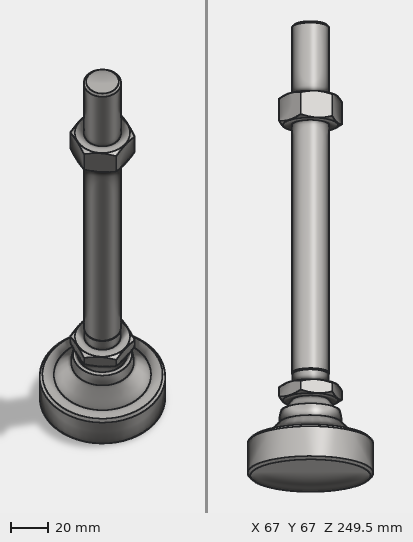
import cadquery as cq
import math

total_height = 249.5

pad_diameter = 67.0
pad_radius = pad_diameter / 2
pad_height = 19.5
pad_chamfer = 1.5

socket_base_radius = 26.0
collar_bottom_radius = 16.7
collar_bottom_z = 29.0
collar_top_z = 35.7
collar_center_z = 30.0

ball_radius = 13.7
ball_center_z = 32.2
ball_flat_z = 22.5

across_flats = 30.0
hex_corner_radius = across_flats / math.sqrt(3)
hex_crown_radius = 14.7
hex_crown_angle = 30.0
spindle_hex_bottom_z = 41.7
spindle_hex_height = 7.7
spindle_hex_top_z = spindle_hex_bottom_z + spindle_hex_height

rod_radius = 10.0
rod_tip_chamfer = 1.2
neck_radius = 9.7
neck_top_z = 56.1
neck_taper_height = 0.7

nut_bottom_z = 194.4
nut_height = 15.0


def sphere_section_radius(sphere_radius, height_from_center):
    """Radius of a horizontal slice through a sphere."""
    return math.sqrt(sphere_radius**2 - height_from_center**2)


def revolve_about_z(profile):
    """Turn a closed radius-height profile in the XZ plane about Z."""
    return profile.close().revolve(360, (0, 0, 0), (0, 1, 0))


def make_hex(bottom_z, height):
    """Hexagonal prism with corners on +-Y and both ends crowned by a cone."""
    prism = (
        cq.Workplane("XY", origin=(0, 0, bottom_z))
        .polygon(6, 2 * hex_corner_radius)
        .extrude(height)
        .rotate((0, 0, 0), (0, 0, 1), 30)
    )
    crown_width = hex_corner_radius - hex_crown_radius
    crown_height = crown_width * math.tan(math.radians(hex_crown_angle))
    top_z = bottom_z + height
    envelope = revolve_about_z(
        cq.Workplane("XZ")
        .moveTo(0, bottom_z)
        .lineTo(hex_crown_radius, bottom_z)
        .lineTo(hex_corner_radius, bottom_z + crown_height)
        .lineTo(hex_corner_radius, top_z - crown_height)
        .lineTo(hex_crown_radius, top_z)
        .lineTo(0, top_z)
    )
    return prism.intersect(envelope)


def make_ball():
    """Ball running from its flat underside up to the spindle hexagon."""
    flat_radius = sphere_section_radius(ball_radius, ball_flat_z - ball_center_z)
    top_radius = sphere_section_radius(ball_radius, spindle_hex_bottom_z - ball_center_z)
    return revolve_about_z(
        cq.Workplane("XZ")
        .moveTo(0, ball_flat_z)
        .lineTo(flat_radius, ball_flat_z)
        .threePointArc((ball_radius, ball_center_z), (top_radius, spindle_hex_bottom_z))
        .lineTo(0, spindle_hex_bottom_z)
    )


def make_pad():
    """Round pad chamfered on both rims."""
    return cq.Workplane("XY").circle(pad_radius).extrude(pad_height).edges().chamfer(pad_chamfer)


def make_socket():
    """Cone and spherical collar, hollowed to hold the ball."""
    collar_radius = math.hypot(collar_bottom_radius, collar_bottom_z - collar_center_z)
    collar_top_radius = sphere_section_radius(collar_radius, collar_top_z - collar_center_z)
    body = revolve_about_z(
        cq.Workplane("XZ")
        .moveTo(0, pad_height)
        .lineTo(socket_base_radius, pad_height)
        .lineTo(collar_bottom_radius, collar_bottom_z)
        .threePointArc((collar_radius, collar_center_z), (collar_top_radius, collar_top_z))
        .lineTo(0, collar_top_z)
    )
    return body.cut(make_ball())


def make_spindle():
    """Ball, hexagon, neck and rod in one piece."""
    shaft = revolve_about_z(
        cq.Workplane("XZ")
        .moveTo(0, spindle_hex_top_z)
        .lineTo(neck_radius, spindle_hex_top_z)
        .lineTo(neck_radius, neck_top_z)
        .lineTo(rod_radius, neck_top_z + neck_taper_height)
        .lineTo(rod_radius, total_height - rod_tip_chamfer)
        .lineTo(rod_radius - rod_tip_chamfer, total_height)
        .lineTo(0, total_height)
    )
    return make_ball().union(make_hex(spindle_hex_bottom_z, spindle_hex_height)).union(shaft)


def make_nut():
    """Hexagon nut bored to fit the rod."""
    bore = cq.Workplane("XY", origin=(0, 0, nut_bottom_z)).circle(rod_radius).extrude(nut_height)
    return make_hex(nut_bottom_z, nut_height).cut(bore)


pad = make_pad()
socket = make_socket()
spindle = make_spindle()
nut = make_nut()

result = cq.Compound.makeCompound([pad.val(), socket.val(), spindle.val(), nut.val()])